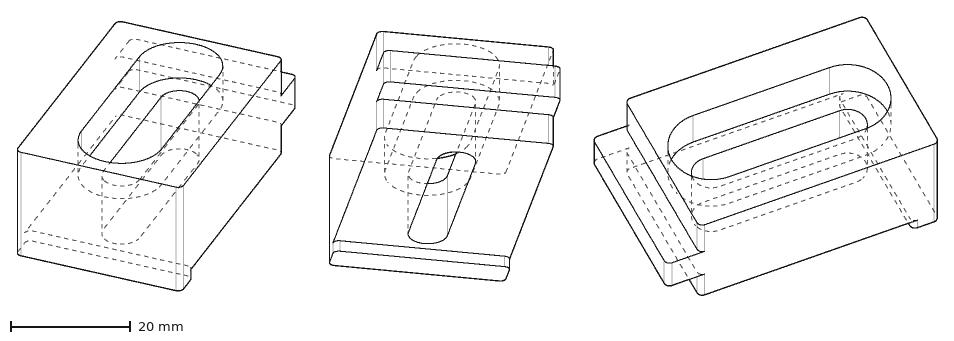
import cadquery as cq

width = 30.0
length = 50.0
height = 20.5
corner_radius = 1.0

tongue_length = 6.0
tongue_height = 6.0
tongue_drop = 7.0
foot_length = 5.0
foot_height = 2.0

slot_center_y = 22.5
slot_center_distance = 25.0
pocket_width = 14.5
pocket_depth = 7.0
through_width = 6.6

body_length = length - tongue_length
tongue_bottom = height - tongue_drop - tongue_height


def rounded_block(block_length, bottom, top):
    """Full-width block starting at the front face, with rounded vertical edges."""
    return (
        cq.Workplane("XY", origin=(0, 0, bottom))
        .box(width, block_length, top - bottom, centered=(True, False, False))
        .edges("|Z")
        .fillet(corner_radius)
    )


def slot_cutter(slot_width, depth):
    """Round-ended slot reaching down from the top face."""
    return (
        cq.Workplane("XY", origin=(0, slot_center_y, height))
        .slot2D(slot_center_distance + slot_width, slot_width, angle=90)
        .extrude(-depth)
    )


body = rounded_block(body_length, foot_height, height)
tongue = rounded_block(length, tongue_bottom, tongue_bottom + tongue_height)
foot = rounded_block(foot_length, 0, foot_height)

pocket = slot_cutter(pocket_width, pocket_depth)
through_slot = slot_cutter(through_width, height)

result = body.union(tongue).union(foot).cut(pocket).cut(through_slot)